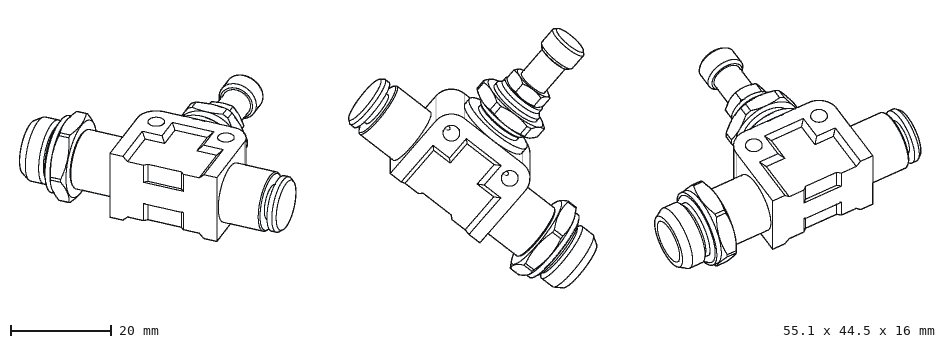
import cadquery as cq
import math


body_half_width = 11.5
body_front = -6.8
body_back = 11.5
body_half_height = 7.55
mount_hole_offset = 7.5
mount_hole_radius = 1.65
corner_radius = body_back - mount_hole_offset

pocket_depth = 1.0
pocket_arm_half_width = 8.7
pocket_arm_back = 3.2
pocket_stem_half_width = 4.45
pocket_stem_back = 8.5

notch_depth = 0.65
notch_half_width = 4.3
notch_floor_half_width = 3.6
notch_inner_height = 2.55

sleeve_radius = 6.05
sleeve_chamfer = 0.3

sleeve_right = 20.4
ring_neck_radius = 3.6
ring_left = 21.8
ring_right = 23.6
ring_radius = 5.7
ring_chamfer_length = 0.7
ring_chamfer_height = 0.55

inlet_nut_right = -20.5
inlet_nut_left = -23.95
inlet_nut_flats = 16.0
inlet_nut_corner_radius = 9.05
flange_left = -25.0
flange_radius = 7.9
seal_left = -25.7
seal_radius = 7.3
thread_relief_radius = 5.75
thread_relief_left = -26.3
thread_right = -26.95
thread_left = -29.8
thread_radius = 6.55
inlet_end = -31.5
inlet_end_radius = 5.5
inlet_bore_radius = 4.4
inlet_bore_depth = 11.0
inner_bore_radius = 2.25
inner_bore_depth = 19.85

collar_radius = 7.5
collar_end = 12.95
screw_relief_radius = 5.0
screw_relief_end = 13.95
screw_thread_radius = 5.5
screw_thread_chamfer = 0.3
panel_nut_start = 15.45
panel_nut_end = 18.4
panel_nut_flats = 14.05
panel_nut_corner_radius = 7.75
screw_thread_end = 19.25
screw_tip_radius = 4.8
screw_tip_start = 20.05
screw_tip_end = 21.0
lock_nut_end = 23.9
lock_nut_flats = 8.1
lock_nut_corner_radius = lock_nut_flats / math.sqrt(3)
stem_radius = 3.05
knob_start = 30.8
knob_end = 35.5
knob_radius = 4.0
knob_chamfer_height = 0.55
knob_chamfer_length = 0.65

NUT_CHAMFER_SLOPE = math.tan(math.radians(30))


def turned_on_x(outline):
    """Revolve (x, radius) points about the X axis."""
    points = [(outline[0][0], 0)] + outline + [(outline[-1][0], 0)]
    return cq.Workplane("XY").polyline(points).close().revolve(360, (0, 0), (1, 0))


def turned_on_y(outline):
    """Revolve (radius, y) points about the Y axis."""
    points = [(0, outline[0][1])] + outline + [(0, outline[-1][1])]
    return cq.Workplane("XY").polyline(points).close().revolve(360, (0, 0), (0, 1))


def hex_nut(start, end, flats, corner_radius, face_radius):
    """Nut along +X with flats facing +Z and -Z, corners turned down and both ends chamfered."""
    hexagon = (
        cq.Workplane("YZ", origin=(start, 0, 0))
        .polygon(6, flats / math.cos(math.pi / 6))
        .extrude(end - start)
    )
    chamfer = (corner_radius - face_radius) * NUT_CHAMFER_SLOPE
    envelope = turned_on_x([
        (start, face_radius),
        (start + chamfer, corner_radius),
        (end - chamfer, corner_radius),
        (end, face_radius),
    ])
    return hexagon.intersect(envelope)


def make_body():
    block = (
        cq.Workplane("XY")
        .box(2 * body_half_width, body_back - body_front, 2 * body_half_height)
        .translate((0, (body_back + body_front) / 2, 0))
        .edges("|Z and >Y")
        .fillet(corner_radius)
    )
    holes = (
        cq.Workplane("XY", origin=(0, 0, -body_half_height))
        .pushPoints([(-mount_hole_offset, mount_hole_offset), (mount_hole_offset, mount_hole_offset)])
        .circle(mount_hole_radius)
        .extrude(2 * body_half_height)
    )
    return block.cut(holes)


def tapered_pocket(half_width, back):
    """Slot open at the front of the body, its other walls leaning in at 45 degrees."""
    width = 2 * half_width
    length = 2 * (back - body_front)
    return (
        cq.Workplane("XY", origin=(0, body_front, body_half_height))
        .rect(width, length)
        .workplane(offset=-pocket_depth)
        .rect(width - 2 * pocket_depth, length - 2 * pocket_depth)
        .loft(ruled=True)
    )


def make_notch():
    outline = [
        (-notch_half_width, body_front),
        (-notch_floor_half_width, body_front + notch_depth),
        (notch_floor_half_width, body_front + notch_depth),
        (notch_half_width, body_front),
    ]
    return (
        cq.Workplane("XY", origin=(0, 0, notch_inner_height))
        .polyline(outline)
        .close()
        .extrude(body_half_height - notch_inner_height)
    )


def make_outlet():
    return turned_on_x([
        (0, sleeve_radius),
        (sleeve_right - sleeve_chamfer, sleeve_radius),
        (sleeve_right, sleeve_radius - sleeve_chamfer),
        (sleeve_right, ring_neck_radius),
        (ring_left, ring_neck_radius),
        (ring_left, ring_radius),
        (ring_right - ring_chamfer_length, ring_radius),
        (ring_right, ring_radius - ring_chamfer_height),
    ])


def make_inlet():
    turned = turned_on_x([
        (inlet_end, inlet_end_radius),
        (thread_left, thread_radius),
        (thread_right, thread_radius),
        (thread_relief_left, thread_relief_radius),
        (flange_left, thread_relief_radius),
        (flange_left, flange_radius),
        (inlet_nut_left, flange_radius),
        (inlet_nut_left, sleeve_radius - sleeve_chamfer),
        (inlet_nut_right, sleeve_radius - sleeve_chamfer),
        (inlet_nut_right + sleeve_chamfer, sleeve_radius),
        (0, sleeve_radius),
    ])
    seal_section_radius = (seal_radius - thread_relief_radius) / 2
    seal = (
        cq.Workplane("XY")
        .moveTo(seal_left + seal_section_radius, seal_radius - seal_section_radius)
        .circle(seal_section_radius)
        .revolve(360, (0, 0), (1, 0))
    )
    nut = hex_nut(
        inlet_nut_left, inlet_nut_right, inlet_nut_flats, inlet_nut_corner_radius, flange_radius
    )
    return turned.union(seal).union(nut)


def make_inlet_bore():
    return turned_on_x([
        (inlet_end, inlet_bore_radius),
        (inlet_end + inlet_bore_depth, inlet_bore_radius),
        (inlet_end + inlet_bore_depth, inner_bore_radius),
        (inlet_end + inner_bore_depth, inner_bore_radius),
    ])


def make_screw():
    turned = turned_on_y([
        (collar_radius, body_back),
        (collar_radius, collar_end),
        (screw_relief_radius, collar_end),
        (screw_relief_radius, screw_relief_end),
        (screw_thread_radius - screw_thread_chamfer, screw_relief_end),
        (screw_thread_radius, screw_relief_end + screw_thread_chamfer),
        (screw_thread_radius, screw_thread_end),
        (screw_tip_radius, screw_tip_start),
        (screw_tip_radius, screw_tip_end),
        (stem_radius, screw_tip_end),
        (stem_radius, knob_start),
        (knob_radius - knob_chamfer_height, knob_start),
        (knob_radius, knob_start + knob_chamfer_length),
        (knob_radius, knob_end - knob_chamfer_height),
        (knob_radius - knob_chamfer_height, knob_end),
    ])
    panel_nut = hex_nut(
        panel_nut_start, panel_nut_end, panel_nut_flats, panel_nut_corner_radius, panel_nut_flats / 2
    )
    lock_nut = hex_nut(
        screw_tip_end, lock_nut_end, lock_nut_flats, lock_nut_corner_radius, lock_nut_flats / 2
    )
    nuts = panel_nut.union(lock_nut).rotate((0, 0, 0), (0, 0, 1), 90)
    return turned.union(nuts)


recess = (
    tapered_pocket(pocket_arm_half_width, pocket_arm_back)
    .union(tapered_pocket(pocket_stem_half_width, pocket_stem_back))
    .union(make_notch())
)

result = make_body().union(make_outlet()).union(make_inlet()).union(make_screw())
for side_recess in (recess, recess.mirror("XY")):
    result = result.cut(side_recess)
result = result.cut(make_inlet_bore())